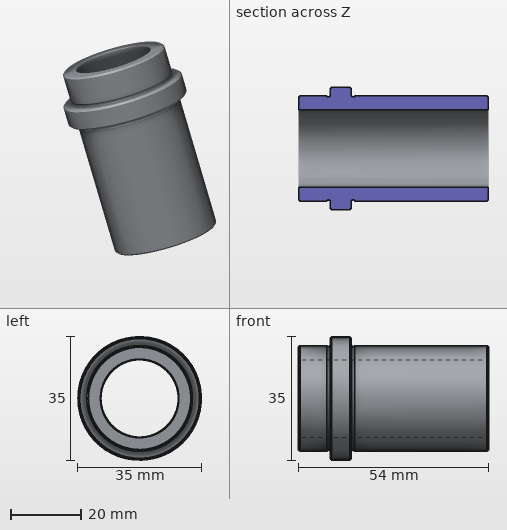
import cadquery as cq

length = 54.0
body_diameter = 30.0
flange_diameter = 35.0
bore_diameter = 22.0

flange_start = 9.0
flange_end = 15.0

groove_width = 1.0
groove_depth = 0.3

outer_chamfer = 0.5
bore_chamfer = 0.15

start_x = -length / 2


def cylinder(diameter, start, end):
    """Solid cylinder on the X axis between two distances from the short end."""
    return cq.Workplane("YZ", origin=(start_x + start, 0, 0)).circle(diameter / 2).extrude(end - start)


def relief_groove(start):
    """Ring that cuts a shallow groove of circular-arc section into the body."""
    body_radius = body_diameter / 2
    near_x = start_x + start
    far_x = near_x + groove_width
    lowest_point = (near_x + groove_width / 2, body_radius - groove_depth)
    section = (
        cq.Workplane("XY")
        .moveTo(near_x, body_radius)
        .threePointArc(lowest_point, (far_x, body_radius))
        .close()
    )
    return section.revolve(360, (0, 0, 0), (1, 0, 0))


body = cylinder(body_diameter, 0, length).faces("<X or >X").chamfer(outer_chamfer)
flange = cylinder(flange_diameter, flange_start, flange_end).faces("<X or >X").chamfer(outer_chamfer)

body = body.cut(relief_groove(flange_start - groove_width))
body = body.cut(relief_groove(flange_end))

bore = cylinder(bore_diameter, 0, length)
result = body.union(flange).cut(bore)
bore_rims = result.faces("<X or >X").edges(cq.selectors.RadiusNthSelector(0))
result = bore_rims.chamfer(bore_chamfer)